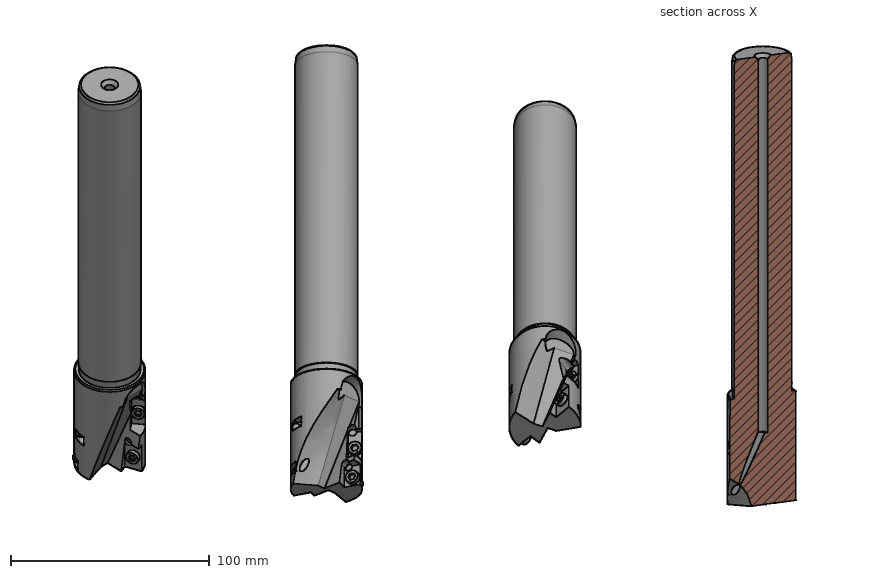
import cadquery as cq
import math

TOOL_LENGTH = 239.8
HEAD_RADIUS = 18.0
HEAD_LENGTH = 59.0
HEAD_CHAMFER = 0.7
SHANK_RADIUS = 15.8
NECK_RADIUS = 15.5
NECK_TOP = 62.8

END_TAPER_LENGTH = 4.3
END_TAPER_RADIUS = 15.3
END_CHAMFER = 1.0

BORE_RADIUS = 2.5
BORE_BOTTOM = 38.4
BORE_MOUTH_RADIUS = 4.3
COOLANT_RADIUS = 1.7
COOLANT_LENGTH = 60.0
COOLANT_SLOPE = 0.45
COOLANT_DRIFT = 0.06

FLUTE_END_Z = 48.0
FLUTE_END_Y = -2.5
FLUTE_END_RADIUS = 10.5
FLUTE_END_INNER_RADIUS = 8.0
FLUTE_REACH = 21.5
FLUTE_FLOOR_X = -13.0
FLUTE_WALL_Y = 1.5
FLUTE_CORNER = (0, 6.2)
FLUTE_END_CORNER = (FLUTE_FLOOR_X, 0.5)
FLUTE_END_EDGE = (-18.5, 15.3)
CHIP_RELIEF_Y = -9.8

SCREW_HEAD_RADIUS = 3.4
SCREW_HEAD_HEIGHT = 2.5
SCREW_SHANK_RADIUS = 2.0
SOCKET_SIDES = 6
SOCKET_RADIUS = 2.0
SOCKET_DEPTH = 1.5
NOTCH_HALF_HEIGHT = 2.6
NOTCH_WIDTH = 3.4
SEAT_CLEARANCE = 14.5
SEAT_OUTER_REACH = 14.5
CORNER_RELIEF_RADIUS = 2.2
CORNER_RELIEF_DEPTH = 2.0
UPPER_TILT = 37.0
LOWER_TILT = 20.0
UPPER_INNER_REACH = 3.5
LOWER_INNER_REACH = 5.0
UPPER_SCREW_LENGTH = 4.8
LOWER_SCREW_LENGTH = 8.0
UPPER_POCKET_HEIGHT = 18.2
UPPER_SCREW_RISE = 8.5
UPPER_SEAT_X = -9.8
UPPER_SEAT_Y = -10.8
LOWER_SEAT_X = -13.0
LOWER_POCKET_BOTTOM = -2.5


def seat(turn, x, y, screw_z, bottom, top, tilt, inner_reach, screw_length):
    """One insert seat; x and y locate the screw axis on the seat face before turning."""
    return {
        "turn": turn, "x": x, "y": y, "screw_z": screw_z, "bottom": bottom, "top": top,
        "tilt": tilt, "inner_reach": inner_reach, "screw_length": screw_length,
    }


def upper_seat(turn, bottom):
    """Seat high on a flute, with the screw near mid height of its pocket."""
    return seat(
        turn, UPPER_SEAT_X, UPPER_SEAT_Y, bottom + UPPER_SCREW_RISE, bottom,
        bottom + UPPER_POCKET_HEIGHT, UPPER_TILT, UPPER_INNER_REACH, UPPER_SCREW_LENGTH,
    )


def lower_seat(turn, y, screw_z, top):
    """Seat that opens at the front end of the tool."""
    return seat(
        turn, LOWER_SEAT_X, y, screw_z, LOWER_POCKET_BOTTOM, top,
        LOWER_TILT, LOWER_INNER_REACH, LOWER_SCREW_LENGTH,
    )


UPPER_SEATS = [
    upper_seat(turn=0, bottom=14.1),
    upper_seat(turn=180, bottom=23.5),
]
LOWER_SEATS = [
    lower_seat(turn=0, y=-6.2, screw_z=4.0, top=11.0),
    lower_seat(turn=180, y=-4.3, screw_z=8.6, top=16.5),
]
SEATS = UPPER_SEATS + LOWER_SEATS


def turned(shape, angle):
    return shape.rotate((0, 0, 0), (0, 0, 1), angle)


def blank():
    """Turned shank, neck and head in one revolved outline."""
    return (
        cq.Workplane("XZ")
        .moveTo(0, 0)
        .lineTo(HEAD_RADIUS, 0)
        .lineTo(HEAD_RADIUS, HEAD_LENGTH - HEAD_CHAMFER)
        .lineTo(HEAD_RADIUS - HEAD_CHAMFER, HEAD_LENGTH)
        .lineTo(NECK_RADIUS, HEAD_LENGTH)
        .lineTo(NECK_RADIUS, NECK_TOP)
        .lineTo(SHANK_RADIUS, NECK_TOP + SHANK_RADIUS - NECK_RADIUS)
        .lineTo(SHANK_RADIUS, TOOL_LENGTH - END_TAPER_LENGTH)
        .lineTo(END_TAPER_RADIUS, TOOL_LENGTH - END_CHAMFER)
        .lineTo(END_TAPER_RADIUS - END_CHAMFER, TOOL_LENGTH)
        .lineTo(0, TOOL_LENGTH)
        .close()
        .revolve(360, (0, 0, 0), (0, 1, 0))
    )


def coolant_bore():
    """Axial bore with a countersunk mouth at the rear end."""
    bore = cq.Workplane("XY").workplane(offset=BORE_BOTTOM).circle(BORE_RADIUS).extrude(TOOL_LENGTH)
    mouth_depth = BORE_MOUTH_RADIUS - BORE_RADIUS
    mouth = cq.Solid.makeCone(
        BORE_RADIUS, BORE_MOUTH_RADIUS, mouth_depth, cq.Vector(0, 0, TOOL_LENGTH - mouth_depth)
    )
    return bore.union(cq.Workplane(mouth))


def coolant_outlet():
    """Inclined hole from the bottom of the bore to the wall of the -X flute."""
    direction = cq.Vector(COOLANT_DRIFT, COOLANT_SLOPE, -1)
    start = cq.Vector(0, 0, BORE_BOTTOM + BORE_RADIUS)
    return cq.Workplane(cq.Solid.makeCylinder(COOLANT_RADIUS, COOLANT_LENGTH, start, direction))


def flute(turn, front_edge):
    """Ruled chip flute with a rounded end; front_edge is the outer end of its wall at z = 0."""
    front = [
        (-FLUTE_REACH, FLUTE_WALL_Y),
        (FLUTE_CORNER[0], FLUTE_WALL_Y),
        FLUTE_CORNER,
        front_edge,
        (-FLUTE_REACH, FLUTE_REACH),
    ]
    end_wall_y = FLUTE_END_Y - FLUTE_END_INNER_RADIUS
    rear = [
        (-FLUTE_REACH, end_wall_y),
        (FLUTE_FLOOR_X, end_wall_y),
        FLUTE_END_CORNER,
        FLUTE_END_EDGE,
        (-FLUTE_REACH, FLUTE_END_EDGE[1]),
    ]
    channel = (
        cq.Workplane("XY").polyline(front).close()
        .workplane(offset=FLUTE_END_Z).polyline(rear).close()
        .loft(ruled=True)
    )
    rounded_end = cq.Solid.makeCone(
        FLUTE_END_INNER_RADIUS, FLUTE_END_RADIUS, FLUTE_REACH + FLUTE_FLOOR_X,
        cq.Vector(FLUTE_FLOOR_X, FLUTE_END_Y, FLUTE_END_Z), cq.Vector(-1, 0, 0),
    )
    return turned(channel.union(cq.Workplane(rounded_end)), turn)


def seat_plane(place):
    """Seat face plane: local x points outward, local y up, the normal away from the screw tip."""
    tilt = math.radians(place["tilt"])
    return cq.Plane(
        origin=(place["x"], place["y"], place["screw_z"]),
        xDir=(-math.cos(tilt), -math.sin(tilt), 0),
        normal=(-math.sin(tilt), math.cos(tilt), 0),
    )


def pocket(place):
    """Insert pocket in front of the seat face, with a relieved upper inner corner."""
    low = place["bottom"] - place["screw_z"]
    high = place["top"] - place["screw_z"]
    plane = seat_plane(place)
    length = place["inner_reach"] + SEAT_OUTER_REACH
    recess = (
        cq.Workplane(plane)
        .moveTo((SEAT_OUTER_REACH - place["inner_reach"]) / 2, (low + high) / 2)
        .rect(length, high - low)
        .extrude(SEAT_CLEARANCE)
    )
    relief = (
        cq.Workplane(plane)
        .workplane(offset=-CORNER_RELIEF_DEPTH)
        .moveTo(CORNER_RELIEF_RADIUS - place["inner_reach"], high)
        .circle(CORNER_RELIEF_RADIUS)
        .extrude(CORNER_RELIEF_DEPTH + SEAT_CLEARANCE)
    )
    return turned(recess.union(relief), place["turn"])


def chip_relief(place):
    """Clearance that widens the flute from the top of an upper pocket to the rounded end."""
    relief = (
        cq.Workplane("XY")
        .workplane(offset=place["top"])
        .moveTo((FLUTE_FLOOR_X - FLUTE_REACH) / 2, (CHIP_RELIEF_Y + FLUTE_END_Y) / 2)
        .rect(FLUTE_REACH + FLUTE_FLOOR_X, FLUTE_END_Y - CHIP_RELIEF_Y)
        .extrude(FLUTE_END_Z - place["top"])
    )
    return turned(relief, place["turn"])


def screw_hole(place):
    """Hole that the screw shank fills."""
    hole = cq.Workplane(seat_plane(place)).circle(SCREW_SHANK_RADIUS).extrude(-place["screw_length"])
    return turned(hole, place["turn"])


def tip_notch(place):
    """Notch in the outer surface where the screw tip shows: round on one side, square on the other."""
    floor = cq.Workplane(seat_plane(place)).workplane(offset=-place["screw_length"])
    round_side = floor.circle(NOTCH_HALF_HEIGHT).extrude(-SEAT_CLEARANCE)
    square_side = (
        floor.moveTo(-NOTCH_WIDTH / 2, 0).rect(NOTCH_WIDTH, 2 * NOTCH_HALF_HEIGHT).extrude(-SEAT_CLEARANCE)
    )
    return turned(round_side.union(square_side), place["turn"])


def clamping_screw(place):
    """Screw with a socketed head on the seat and its shank in the seat hole."""
    plane = seat_plane(place)
    head = cq.Workplane(plane).circle(SCREW_HEAD_RADIUS).extrude(SCREW_HEAD_HEIGHT)
    shank = cq.Workplane(plane).circle(SCREW_SHANK_RADIUS).extrude(-place["screw_length"])
    socket = (
        cq.Workplane(plane)
        .workplane(offset=SCREW_HEAD_HEIGHT)
        .polygon(SOCKET_SIDES, 2 * SOCKET_RADIUS)
        .extrude(-SOCKET_DEPTH)
    )
    return turned(head.union(shank).cut(socket), place["turn"])


def tool_body():
    body = blank().cut(coolant_bore())
    body = body.cut(flute(turn=0, front_edge=(9.5, 19.7)))
    body = body.cut(flute(turn=180, front_edge=(-4.0, 20.1)))
    body = body.cut(coolant_outlet())
    for place in UPPER_SEATS:
        body = body.cut(chip_relief(place))
    for place in SEATS:
        body = body.cut(pocket(place)).cut(screw_hole(place)).cut(tip_notch(place))
    return body


body = tool_body()
screws = [clamping_screw(place).val() for place in SEATS]

result = cq.Compound.makeCompound([body.val(), *screws])